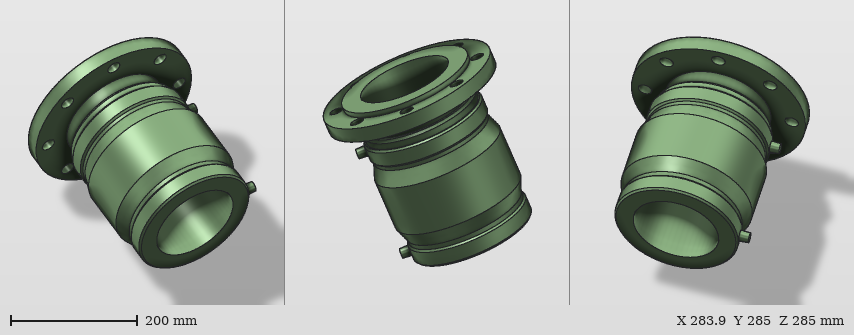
import cadquery as cq

RAISED_FACE_HEIGHT = 8.8
FLANGE_BACK = 33.0
STEP_START = 58.0
STEP_CHAMFER_LENGTH = 4.5
COLLAR_CENTERS = (88.0, 268.8)
COLLAR_WIDTH = 30.2
COLLAR_CHAMFER_LENGTH = 3.5
FRONT_CONE_START = 109.7
BARREL_START = 136.0
BARREL_END = 221.0
REAR_CONE_END = 246.0
LENGTH = COLLAR_CENTERS[-1] + COLLAR_WIDTH / 2

FLANGE_DIAMETER = 285.0
BARREL_DIAMETER = 215.0
TUBE_DIAMETER = 172.0
STEP_DIAMETER = 191.2
STEP_CHAMFER_HEIGHT = 3.5
COLLAR_DIAMETER = 202.0
NECK_DIAMETER = 196.0

INLET_DIAMETER = 150.0
BORE_DIAMETER = 140.0
TAPER_START = 58.0
TAPER_END = 72.5

BOLT_COUNT = 8
BOLT_HOLE_DIAMETER = 22.0
BOLT_CIRCLE_DIAMETER = 240.0

STUD_TOP_Y = 116.3
STUD_TOP_DIAMETER = 16.2
STUD_ROOT_DIAMETER = 18.0
STUD_EMBED = 2.8


def cylinder(start, end, diameter):
    return cq.Workplane("YZ", origin=(start, 0, 0)).circle(diameter / 2).extrude(end - start)


def revolve_about_x(points):
    """Revolve a closed (x, radius) profile about the X axis."""
    return cq.Workplane("XY").polyline(points).close().revolve(360, (0, 0, 0), (1, 0, 0))


def make_barrel():
    """Swollen middle section with conical shoulders and neck ends."""
    neck_radius = NECK_DIAMETER / 2
    barrel_radius = BARREL_DIAMETER / 2
    return revolve_about_x([
        (COLLAR_CENTERS[0], 0),
        (COLLAR_CENTERS[0], neck_radius),
        (FRONT_CONE_START, neck_radius),
        (BARREL_START, barrel_radius),
        (BARREL_END, barrel_radius),
        (REAR_CONE_END, neck_radius),
        (COLLAR_CENTERS[1], neck_radius),
        (COLLAR_CENTERS[1], 0),
    ])


def make_step():
    """Shoulder between the tube and the first collar, chamfered toward the flange."""
    radius = STEP_DIAMETER / 2
    return revolve_about_x([
        (STEP_START, 0),
        (STEP_START, radius - STEP_CHAMFER_HEIGHT),
        (STEP_START + STEP_CHAMFER_LENGTH, radius),
        (COLLAR_CENTERS[0], radius),
        (COLLAR_CENTERS[0], 0),
    ])


def make_collar(center):
    """Ring chamfered on both sides down to the neck diameter."""
    start = center - COLLAR_WIDTH / 2
    end = center + COLLAR_WIDTH / 2
    return revolve_about_x([
        (start, 0),
        (start, NECK_DIAMETER / 2),
        (start + COLLAR_CHAMFER_LENGTH, COLLAR_DIAMETER / 2),
        (end - COLLAR_CHAMFER_LENGTH, COLLAR_DIAMETER / 2),
        (end, NECK_DIAMETER / 2),
        (end, 0),
    ])


def make_stud(center):
    """Round stud along +Y, narrowing toward its top."""
    collar_radius = COLLAR_DIAMETER / 2
    root_y = collar_radius - STUD_EMBED
    profile = [
        (center, root_y),
        (center + STUD_ROOT_DIAMETER / 2, root_y),
        (center + STUD_ROOT_DIAMETER / 2, collar_radius),
        (center + STUD_TOP_DIAMETER / 2, STUD_TOP_Y),
        (center, STUD_TOP_Y),
    ]
    return cq.Workplane("XY").polyline(profile).close().revolve(360, (center, 0, 0), (center, 1, 0))


def make_bore():
    return revolve_about_x([
        (0, 0),
        (0, INLET_DIAMETER / 2),
        (TAPER_START, INLET_DIAMETER / 2),
        (TAPER_END, BORE_DIAMETER / 2),
        (LENGTH, BORE_DIAMETER / 2),
        (LENGTH, 0),
    ])


def make_bolt_holes():
    return (
        cq.Workplane("YZ")
        .polarArray(BOLT_CIRCLE_DIAMETER / 2, 0, 360, BOLT_COUNT)
        .circle(BOLT_HOLE_DIAMETER / 2)
        .extrude(FLANGE_BACK)
    )


flange = cylinder(RAISED_FACE_HEIGHT, FLANGE_BACK, FLANGE_DIAMETER)
raised_face = cylinder(0, RAISED_FACE_HEIGHT, BARREL_DIAMETER)
flange = flange.union(raised_face).cut(make_bolt_holes())
tube = cylinder(RAISED_FACE_HEIGHT, COLLAR_CENTERS[0], TUBE_DIAMETER)

body = flange.union(tube).union(make_step()).union(make_barrel())
for collar_center in COLLAR_CENTERS:
    body = body.union(make_collar(collar_center)).union(make_stud(collar_center))

result = body.cut(make_bore())